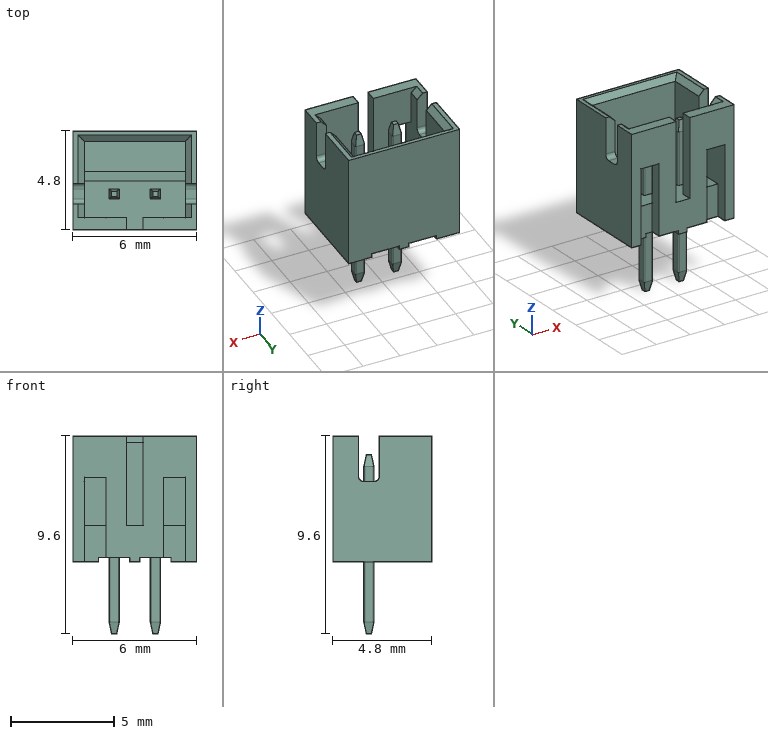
import cadquery as cq


width = 6.0
depth = 4.8
height = 6.1
side_wall = 0.55
front_wall = 0.6
back_wall = 0.5
rim_chamfer = 0.3

floor_z = 1.75
back_floor_z = 1.05
slope_start = 2.37
slope_length = 0.47

side_slot_width = 1.0
side_slot_depth = 2.2
side_slot_fillet = 0.25
front_slot_width = 0.8

window_outer_x = width / 2 - side_wall
window_width = 1.05
window_top = 4.1

foot_height = 0.2
corner_foot_width = 1.25
center_foot_width = 0.5

pin_count = 2
pin_row_offset = 1.75
pin_pitch = 2.0
pin_size = 0.5
pin_edge_fillet = 0.05
pin_tip_size = 0.25
pin_taper = 0.58
pin_bottom = -3.5
pin_top = 5.2

front_y = -depth / 2
back_y = depth / 2
pin_y = front_y + pin_row_offset
inner_width = width - 2 * side_wall
inner_front_y = front_y + front_wall
inner_back_y = back_y - back_wall


def box(x_min, x_max, y_min, y_max, z_min, z_max):
    """Axis-aligned block between two opposite corners."""
    block = cq.Workplane("XY").box(x_max - x_min, y_max - y_min, z_max - z_min, centered=False)
    return block.translate((x_min, y_min, z_min))


def make_cavity():
    """Open pocket with the stepped floor, extruded along X from its Y-Z section."""
    slope_y = front_y + slope_start
    return (
        cq.Workplane("YZ")
        .moveTo(inner_front_y, height)
        .lineTo(inner_front_y, floor_z)
        .lineTo(slope_y, floor_z)
        .lineTo(slope_y + slope_length, back_floor_z)
        .lineTo(inner_back_y, back_floor_z)
        .lineTo(inner_back_y, height)
        .close()
        .extrude(inner_width / 2, both=True)
    )


def make_rim_chamfer():
    """Lead-in bevel along the side and back walls; the front wall stays square."""
    inner_depth = inner_back_y - inner_front_y
    center_y = (inner_front_y + inner_back_y) / 2
    bevel_z = height - rim_chamfer
    bevel = (
        cq.Workplane("XY", origin=(0, center_y, bevel_z))
        .rect(inner_width, inner_depth)
        .workplane(offset=rim_chamfer)
        .rect(inner_width + 2 * rim_chamfer, inner_depth + 2 * rim_chamfer)
        .loft(ruled=True)
    )
    return bevel.intersect(box(-width / 2, width / 2, inner_front_y, back_y, bevel_z, height))


def make_side_slots():
    """Round-cornered slot through both side walls, in line with the pin row."""
    half_slot = side_slot_width / 2
    slot_z = height - side_slot_depth
    slot = box(-width / 2, width / 2, pin_y - half_slot, pin_y + half_slot, slot_z, height)
    return slot.edges("|X and <Z").fillet(side_slot_fillet)


def make_front_slot():
    """Central slot in the front wall, open at the top and ending at the cavity floor."""
    return box(-front_slot_width / 2, front_slot_width / 2, front_y, inner_front_y, floor_z, height)


def make_window(side):
    """Opening in the front wall from the underside up to window_top; side is -1 or 1."""
    x_near = side * (window_outer_x - window_width)
    x_far = side * window_outer_x
    return box(min(x_near, x_far), max(x_near, x_far), front_y, inner_front_y, 0, window_top)


def make_foot_gap(side):
    """Channel along Y between a corner foot and the center foot; side is -1 or 1."""
    x_near = side * center_foot_width / 2
    x_far = side * (width / 2 - corner_foot_width)
    return box(min(x_near, x_far), max(x_near, x_far), front_y, back_y, 0, foot_height)


def make_housing():
    housing = box(-width / 2, width / 2, front_y, back_y, 0, height)
    housing = housing.cut(make_cavity()).cut(make_rim_chamfer())
    housing = housing.cut(make_side_slots()).cut(make_front_slot())
    for side in (-1, 1):
        housing = housing.cut(make_window(side)).cut(make_foot_gap(side))
    return housing


def make_pin_tip(base_z, end_z):
    """Square taper from the full pin section at base_z to the small end at end_z."""
    return (
        cq.Workplane("XY", origin=(0, 0, base_z))
        .rect(pin_size, pin_size)
        .workplane(offset=end_z - base_z)
        .rect(pin_tip_size, pin_tip_size)
        .loft(ruled=True)
    )


def make_pin(x):
    """Square pin tapered at both ends, with its long edges rounded."""
    shaft_bottom = pin_bottom + pin_taper
    shaft_top = pin_top - pin_taper
    half = pin_size / 2
    blank = box(-half, half, -half, half, pin_bottom, pin_top).edges("|Z").fillet(pin_edge_fillet)
    profile = box(-half, half, -half, half, shaft_bottom, shaft_top)
    profile = profile.union(make_pin_tip(shaft_top, pin_top))
    profile = profile.union(make_pin_tip(shaft_bottom, pin_bottom))
    return blank.intersect(profile).translate((x, pin_y, 0))


result = make_housing()
for index in range(pin_count):
    pin_x = (index - (pin_count - 1) / 2) * pin_pitch
    result = result.union(make_pin(pin_x))